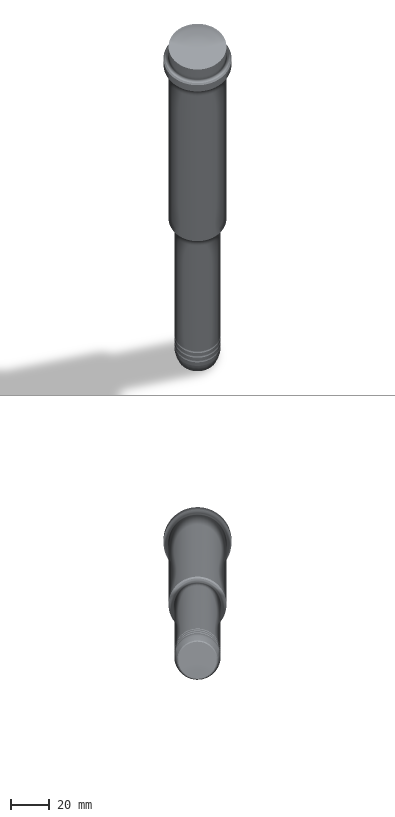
import cadquery as cq
import math

LENGTH = 260.0
ROD_DIAMETER = 24.0
BODY_DIAMETER = 30.0
FLANGE_DIAMETER = 35.0
HEAD_HEIGHT = 9.0
FLANGE_THICKNESS = 6.0
FLANGE_CHAMFER = 0.8
BODY_END_Z = 115.0
BODY_CHAMFER = 0.8
CORNER_RADIUS = 0.8

TIP_DIAMETER = 20.8
TIP_LENGTH = 7.0
TIP_BULGE = 0.3
TIP_CHAMFER = 0.5

GROOVE_COUNT = 3
GROOVE_PITCH = 4.0
FIRST_GROOVE_Z = 10.7
GROOVE_WIDTH = 1.3
GROOVE_DEPTH = 0.5


def cylinder(diameter, bottom, top):
    """Solid cylinder about Z between two heights."""
    return cq.Workplane("XY").workplane(offset=bottom).circle(diameter / 2).extrude(top - bottom)


def rod_with_tip():
    """Slim rod whose lower end narrows along a shallow arc."""
    rod_radius = ROD_DIAMETER / 2
    tip_radius = TIP_DIAMETER / 2
    arc_middle = ((rod_radius + tip_radius) / 2 + TIP_BULGE, (TIP_LENGTH + TIP_CHAMFER) / 2)
    return (
        cq.Workplane("XZ")
        .lineTo(tip_radius - TIP_CHAMFER, 0)
        .lineTo(tip_radius, TIP_CHAMFER)
        .threePointArc(arc_middle, (rod_radius, TIP_LENGTH))
        .lineTo(rod_radius, BODY_END_Z)
        .lineTo(0, BODY_END_Z)
        .close()
        .revolve(360, (0, 0, 0), (0, 1, 0))
    )


def revolve_outline(points):
    """Solid of revolution from a closed outline of (radius, height) points."""
    return cq.Workplane("XZ").polyline(points).close().revolve(360, (0, 0, 0), (0, 1, 0))


def v_groove(center_z):
    """V-section ring of material to remove from the rod surface."""
    radius = ROD_DIAMETER / 2
    return revolve_outline([
        (radius, center_z - GROOVE_WIDTH / 2),
        (radius - GROOVE_DEPTH, center_z),
        (radius, center_z + GROOVE_WIDTH / 2),
    ])


def corner_fillet(diameter, shoulder_z, direction):
    """Concave ring filling the corner between a cylinder and a shoulder; direction is +1 up, -1 down."""
    radius = diameter / 2
    arc_inset = CORNER_RADIUS * (1 - math.sqrt(0.5))
    return (
        cq.Workplane("XZ")
        .moveTo(radius, shoulder_z)
        .lineTo(radius + CORNER_RADIUS, shoulder_z)
        .threePointArc(
            (radius + arc_inset, shoulder_z + direction * arc_inset),
            (radius, shoulder_z + direction * CORNER_RADIUS),
        )
        .close()
        .revolve(360, (0, 0, 0), (0, 1, 0))
    )


body = cylinder(BODY_DIAMETER, BODY_END_Z, LENGTH).faces("<Z").chamfer(BODY_CHAMFER)

flange_top = LENGTH - HEAD_HEIGHT
flange_bottom = flange_top - FLANGE_THICKNESS
flange = cylinder(FLANGE_DIAMETER, flange_bottom, flange_top).faces(">Z").chamfer(FLANGE_CHAMFER)

result = rod_with_tip().union(body).union(flange)

result = result.union(corner_fillet(BODY_DIAMETER, flange_top, 1))
result = result.union(corner_fillet(BODY_DIAMETER, flange_bottom, -1))
result = result.union(corner_fillet(ROD_DIAMETER, BODY_END_Z, -1))

for index in range(GROOVE_COUNT):
    result = result.cut(v_groove(FIRST_GROOVE_Z + index * GROOVE_PITCH))